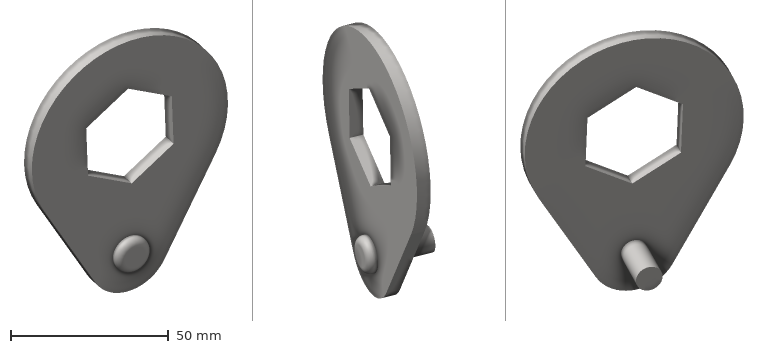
import cadquery as cq
import math

plate_thickness = 4.8
overall_height = 95.4
large_radius = 36.3
small_radius = 14.6
center_distance = overall_height - large_radius - small_radius

hex_corner_diameter = 36.6
hex_tilt = 2.1

pin_diameter = 8.9
pin_length = 16.0
head_diameter = 12.7
head_height = 3.3
head_rim_height = 0.9
head_edge_radius = head_height - head_rim_height


def make_plate():
    """Two round ends joined by their common tangents."""
    tangent_angle = math.asin((large_radius - small_radius) / center_distance)
    across = math.cos(tangent_angle)
    down = math.sin(tangent_angle)
    large_y = large_radius * across
    large_z = center_distance - large_radius * down
    small_y = small_radius * across
    small_z = -small_radius * down
    return (
        cq.Workplane("YZ")
        .moveTo(-large_y, large_z)
        .threePointArc((0, center_distance + large_radius), (large_y, large_z))
        .lineTo(small_y, small_z)
        .threePointArc((0, -small_radius), (-small_y, small_z))
        .close()
        .extrude(plate_thickness)
    )


def make_hex_cutter():
    """Hexagonal prism through the plate, with a corner near the top."""
    return (
        cq.Workplane("YZ")
        .polygon(6, hex_corner_diameter)
        .extrude(plate_thickness)
        .rotate((0, 0, 0), (1, 0, 0), 90 + hex_tilt)
        .translate((0, 0, center_distance))
    )


def make_pin():
    """Shank through the plate towards -X, with a rounded head on the +X face."""
    shank = (
        cq.Workplane("YZ", origin=(-pin_length, 0, 0))
        .circle(pin_diameter / 2)
        .extrude(pin_length + plate_thickness)
    )
    head = (
        cq.Workplane("YZ", origin=(plate_thickness, 0, 0))
        .circle(head_diameter / 2)
        .extrude(head_height)
        .faces(">X")
        .edges()
        .fillet(head_edge_radius)
    )
    return shank.union(head)


result = make_plate().cut(make_hex_cutter()).union(make_pin())